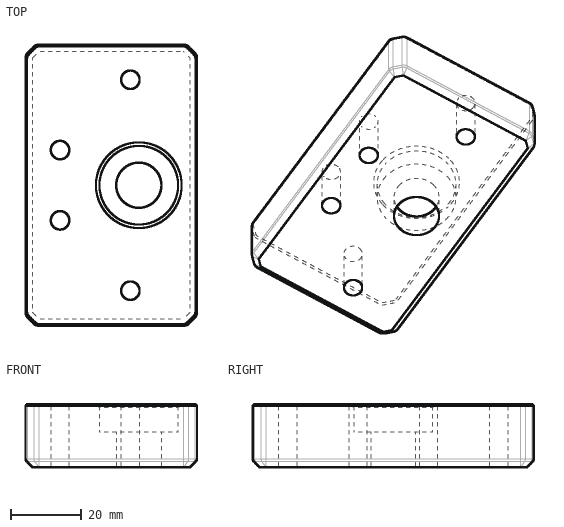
import cadquery as cq

width = 48.8
length = 80.0
height = 18.0
end_width = 42.8
corner_chamfer = (width - end_width) / 2
corner_radius = 2.0
top_chamfer = 0.5
cone_tip = 0.01
bottom_chamfer = corner_radius - cone_tip
bottom_edge_radius = 1.0
rim_margin = 0.001

bore_x = 7.8
bore_diameter = 12.8
pocket_diameter = 22.4
pocket_depth = 8.0
mouth_diameter = 24.4
mouth_chamfer = (mouth_diameter - pocket_diameter) / 2

hole_diameter = 5.2
end_hole_x = 5.4
end_hole_y = 30.0
row_spacing = 20.0
side_hole_x = end_hole_x - row_spacing
side_hole_y = 10.0


def make_block():
    """Plate standing on Z = 0 with softened corners and beveled rims."""
    block = cq.Workplane("XY").box(width, length, height, centered=(True, True, False))
    block = block.edges("|Z").chamfer(corner_chamfer)
    block = block.edges("|Z").fillet(corner_radius)
    block = block.faces(">Z").edges().chamfer(top_chamfer)
    block = block.faces("<Z").edges().chamfer(bottom_chamfer)
    rim_zone = cq.selectors.BoxSelector(
        (-width, -length, bottom_chamfer - rim_margin),
        (width, length, bottom_chamfer + rim_margin),
    )
    return block.edges(rim_zone).fillet(bottom_edge_radius)


def cut_stepped_bore(body):
    """Through bore with a round pocket and a chamfered mouth on the top face."""
    body = (
        body.faces(">Z").workplane(origin=(bore_x, 0, 0))
        .cboreHole(bore_diameter, pocket_diameter, pocket_depth)
    )
    largest_circle = cq.selectors.RadiusNthSelector(-1)
    mouth = body.faces(">Z").edges("%CIRCLE").edges(largest_circle)
    return mouth.chamfer(mouth_chamfer)


def drill_mounting_holes(body):
    """Plain through holes, mirrored about the X axis."""
    centers = []
    for side in (-1, 1):
        centers.append((end_hole_x, side * end_hole_y))
        centers.append((side_hole_x, side * side_hole_y))
    return body.faces(">Z").workplane(origin=(0, 0, 0)).pushPoints(centers).hole(hole_diameter)


block = make_block()
bored_block = cut_stepped_bore(block)
result = drill_mounting_holes(bored_block)